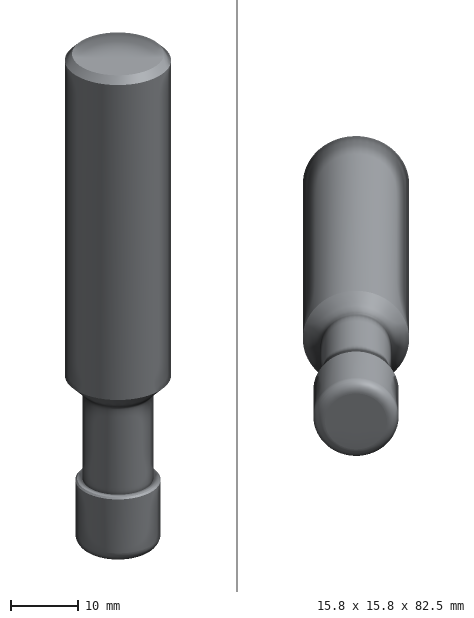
import cadquery as cq
import math

total_length = 82.55

shank_radius = 7.9
shank_end_chamfer = 1.1
neck_radius = 5.3
shoulder_top = 28.4
shoulder_fillet = 0.7

cap_radius = 6.35
cap_height = 11.1
cap_bottom_fillet = 1.7
cap_top_chamfer = 0.25
neck_insertion = 8.0

neck_end = cap_height - neck_insertion
shoulder_bottom = shoulder_top - (shank_radius - neck_radius)


def make_pin():
    """Turned pin with a blended 45 degree shoulder between shank and neck."""
    tangent_length = shoulder_fillet * math.tan(math.radians(22.5))
    cone_step = tangent_length * math.cos(math.radians(45))
    fillet_center_radius = neck_radius + shoulder_fillet
    fillet_bottom = shoulder_bottom - tangent_length
    fillet_middle = (
        fillet_center_radius - shoulder_fillet * math.cos(math.radians(22.5)),
        fillet_bottom + shoulder_fillet * math.sin(math.radians(22.5)),
    )
    return (
        cq.Workplane("XZ")
        .moveTo(0, neck_end)
        .lineTo(neck_radius, neck_end)
        .lineTo(neck_radius, fillet_bottom)
        .threePointArc(fillet_middle, (neck_radius + cone_step, shoulder_bottom + cone_step))
        .lineTo(shank_radius, shoulder_top)
        .lineTo(shank_radius, total_length - shank_end_chamfer)
        .lineTo(shank_radius - shank_end_chamfer, total_length)
        .lineTo(0, total_length)
        .close()
        .revolve(360, (0, 0, 0), (0, 1, 0))
    )


def make_cap():
    """Round cap with a rounded bottom rim and a blind bore for the neck."""
    return (
        cq.Workplane("XY")
        .circle(cap_radius)
        .extrude(cap_height)
        .faces("<Z").edges().fillet(cap_bottom_fillet)
        .faces(">Z").edges().chamfer(cap_top_chamfer)
        .faces(">Z").workplane()
        .hole(2 * neck_radius, neck_insertion)
    )


pin = make_pin()
cap = make_cap()

result = cq.Compound.makeCompound([pin.val(), cap.val()])